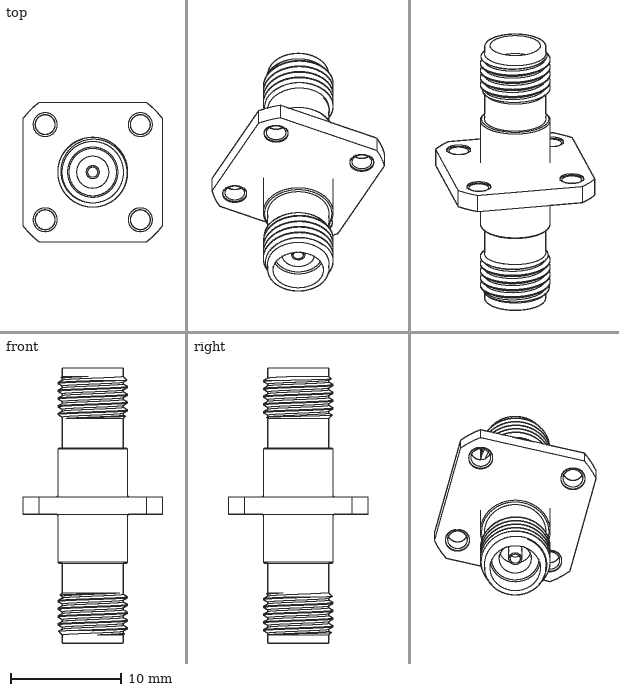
import cadquery as cq
import math


TOTAL_LENGTH = 25.02
HALF_LENGTH = TOTAL_LENGTH / 2

FLANGE_SIDE = 12.7
FLANGE_THICKNESS = 1.6
FLANGE_CORNER_DIAMETER = 16.0
MOUNT_HOLE_SPACING = 8.64
MOUNT_HOLE_DIAMETER = 1.78
COUNTERBORE_DIAMETER = 2.18
COUNTERBORE_DEPTH = 0.13

SHOULDER_DIAMETER = 6.35
SHOULDER_END_Z = 5.25
SHOULDER_CHAMFER = 0.12
FLANGE_FILLET = 0.13

BARREL_DIAMETER = 5.58
BARREL_TIP_FILLET = 0.12
THREAD_DIAMETER = 6.35
THREAD_PITCH = 25.4 / 36
THREAD_FLANK_ANGLE = 30.0
THREAD_CREST_WIDTH = THREAD_PITCH / 8
THREAD_START_Z = 7.93
THREAD_END_Z = 11.73
THREAD_CREST_Z = 10.78
THREAD_ROOT_OVERLAP = 0.05

BORE_DIAMETER = 4.57
BORE_DEPTH = 1.9
BORE_FLOOR_CHAMFER = 0.13
LINE_DIAMETER = 2.92
LINE_DEPTH = 2.0
PIN_DIAMETER = 1.19
SOCKET_DIAMETER = 0.92
SOCKET_DEPTH = 1.2


def make_flange():
    """Square plate, corners rounded about the axis, four holes counterbored on both faces."""
    half_thickness = FLANGE_THICKNESS / 2
    corner_limit = cq.Workplane("XY").circle(FLANGE_CORNER_DIAMETER / 2)
    corner_limit = corner_limit.extrude(half_thickness, both=True)
    plate = cq.Workplane("XY").box(FLANGE_SIDE, FLANGE_SIDE, FLANGE_THICKNESS).intersect(corner_limit)
    for face in (">Z", "<Z"):
        plate = (
            plate.faces(face)
            .workplane(origin=(0, 0, 0))
            .rect(MOUNT_HOLE_SPACING, MOUNT_HOLE_SPACING, forConstruction=True)
            .vertices()
            .cboreHole(MOUNT_HOLE_DIAMETER, COUNTERBORE_DIAMETER, COUNTERBORE_DEPTH)
        )
    return plate


def make_jack_body():
    """Upper shoulder and barrel as one turned shape, including the fillet at the flange."""
    flange_top = FLANGE_THICKNESS / 2
    shoulder_r = SHOULDER_DIAMETER / 2
    barrel_r = BARREL_DIAMETER / 2
    outline = (
        cq.Workplane("XZ")
        .lineTo(shoulder_r + FLANGE_FILLET, 0)
        .lineTo(shoulder_r + FLANGE_FILLET, flange_top)
        .radiusArc((shoulder_r, flange_top + FLANGE_FILLET), FLANGE_FILLET)
        .lineTo(shoulder_r, SHOULDER_END_Z - SHOULDER_CHAMFER)
        .lineTo(shoulder_r - SHOULDER_CHAMFER, SHOULDER_END_Z)
        .lineTo(barrel_r, SHOULDER_END_Z)
        .lineTo(barrel_r, HALF_LENGTH - BARREL_TIP_FILLET)
        .radiusArc((barrel_r - BARREL_TIP_FILLET, HALF_LENGTH), -BARREL_TIP_FILLET)
        .lineTo(0, HALF_LENGTH)
        .close()
    )
    return outline.revolve(360, (0, 0, 0), (0, 1, 0))


def make_thread():
    """Right-handed helical ridge, trimmed by a sleeve with 45 degree ends."""
    crest_r = THREAD_DIAMETER / 2
    barrel_r = BARREL_DIAMETER / 2
    root_r = barrel_r - THREAD_ROOT_OVERLAP
    half_crest = THREAD_CREST_WIDTH / 2
    half_root = half_crest + (crest_r - root_r) * math.tan(math.radians(THREAD_FLANK_ANGLE))

    turns_below = math.ceil((THREAD_CREST_Z - THREAD_START_Z) / THREAD_PITCH) + 1
    start_z = THREAD_CREST_Z - turns_below * THREAD_PITCH
    helix_height = THREAD_END_Z + THREAD_PITCH - start_z
    helix = cq.Wire.makeHelix(THREAD_PITCH, helix_height, root_r, center=cq.Vector(0, 0, start_z))
    ridge = (
        cq.Workplane("XZ")
        .moveTo(root_r, start_z - half_root)
        .lineTo(crest_r, start_z - half_crest)
        .lineTo(crest_r, start_z + half_crest)
        .lineTo(root_r, start_z + half_root)
        .close()
        .sweep(cq.Workplane(obj=helix), isFrenet=True)
    )

    end_taper = crest_r - barrel_r
    sleeve = (
        cq.Workplane("XZ")
        .moveTo(0, THREAD_START_Z)
        .lineTo(barrel_r, THREAD_START_Z)
        .lineTo(crest_r, THREAD_START_Z + end_taper)
        .lineTo(crest_r, THREAD_END_Z - end_taper)
        .lineTo(barrel_r, THREAD_END_Z)
        .lineTo(0, THREAD_END_Z)
        .close()
        .revolve(360, (0, 0, 0), (0, 1, 0))
    )
    return ridge.intersect(sleeve)


def make_jack_cavity():
    """Space inside the jack: mating bore, annular line around the flush pin, pin socket."""
    bore_r = BORE_DIAMETER / 2
    line_r = LINE_DIAMETER / 2
    pin_r = PIN_DIAMETER / 2
    socket_r = SOCKET_DIAMETER / 2
    bore_floor = HALF_LENGTH - BORE_DEPTH
    line_floor = bore_floor - LINE_DEPTH
    socket_floor = bore_floor - SOCKET_DEPTH
    outline = (
        cq.Workplane("XZ")
        .moveTo(0, HALF_LENGTH)
        .lineTo(bore_r, HALF_LENGTH)
        .lineTo(bore_r, bore_floor + BORE_FLOOR_CHAMFER)
        .lineTo(bore_r - BORE_FLOOR_CHAMFER, bore_floor)
        .lineTo(line_r, bore_floor)
        .lineTo(line_r, line_floor)
        .lineTo(pin_r, line_floor)
        .lineTo(pin_r, bore_floor)
        .lineTo(socket_r, bore_floor)
        .lineTo(socket_r, socket_floor)
        .lineTo(0, socket_floor)
        .close()
    )
    return outline.revolve(360, (0, 0, 0), (0, 1, 0))


upper_jack = make_jack_body().union(make_thread()).cut(make_jack_cavity())
lower_jack = upper_jack.rotate((0, 0, 0), (0, 1, 0), 180)

result = make_flange().union(upper_jack).union(lower_jack)